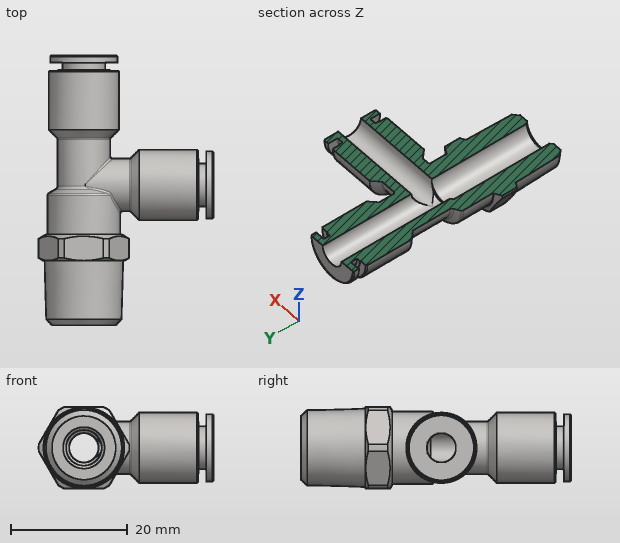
import cadquery as cq
import math


OVERALL_LENGTH = 46.2

STEM_R = 4.55
SOCKET_R = 6.05
SOCKET_START = 9.45
FLARE_START = SOCKET_START - (SOCKET_R - STEM_R)
SOCKET_END = 19.55
SOCKET_CHAMFER = 0.25
LIP_R = 4.4
LIP_HEIGHT = 0.15
COLLAR_NECK_R = 3.7
COLLAR_R = 5.78
COLLAR_CHAMFER = 0.25
COLLAR_BLEND_R = 0.15
END_REACH = 22.18
COLLAR_THICKNESS = 1.25
COLLAR_BASE = END_REACH - COLLAR_THICKNESS
STEM_BLEND_R = 0.35

BODY_R = 6.25
BODY_SHOULDER_Y = -1.52
BODY_CONE_ANGLE = 60.0
BODY_INNER_BLEND_R = 0.65
BODY_OUTER_BLEND_R = 0.45
BRANCH_BLEND_R = 0.35

BRANCH_STEM_UNDERSIZE = 0.005
BRANCH_STEM_R = STEM_R - BRANCH_STEM_UNDERSIZE
JOINT_TOLERANCE = 0.0005

HEX_ACROSS_FLATS = 14.0
HEX_CORNER_R = 7.75
HEX_TOP_Y = -8.4
HEX_BOTTOM_Y = -13.0
HEX_TOP_FACE_R = 6.38
HEX_BOTTOM_FACE_R = 6.95
HEX_CHAMFER_ANGLE = 30.0

THREAD_END_Y = END_REACH - OVERALL_LENGTH
THREAD_START_R = 6.75
THREAD_TIP_R = 6.45
THREAD_CHAMFER_LENGTH = 1.05
THREAD_FACE_R = 5.45

INLET_R = 3.05
INLET_MOUTH_R = 3.55
INLET_END_Y = -2.4
OUTLET_R = 2.5


def revolve_about_y(points, blends=()):
    """Turn an outline of (radius, y) points; blends lists (corner point, blend radius) pairs."""
    corners = [cq.Vector(*point) for point in points]
    face = cq.Face.makeFromWires(cq.Wire.makePolygon(corners, close=True))
    for corner, blend_r in blends:
        vertex = min(face.Vertices(), key=lambda v: (v.Center() - cq.Vector(*corner)).Length)
        face = face.fillet2D(blend_r, [vertex])
    return cq.Workplane("XY").add(face).toPending().revolve(360, (0, 0, 0), (0, 1, 0))


def push_in_profile():
    """(Radius, distance from the origin) along the flared socket, its lip and the release collar."""
    return [
        (SOCKET_R, SOCKET_START),
        (SOCKET_R, SOCKET_END - SOCKET_CHAMFER),
        (SOCKET_R - SOCKET_CHAMFER, SOCKET_END),
        (LIP_R, SOCKET_END),
        (LIP_R, SOCKET_END + LIP_HEIGHT),
        (COLLAR_NECK_R, SOCKET_END + LIP_HEIGHT),
        (COLLAR_NECK_R, COLLAR_BASE),
        (COLLAR_R, COLLAR_BASE),
        (COLLAR_R, END_REACH - COLLAR_CHAMFER),
        (COLLAR_R - COLLAR_CHAMFER, END_REACH),
        (0, END_REACH),
    ]


def push_in_blends(stem_r):
    """Blends where the stem meets the flare and where the collar neck meets the collar."""
    return [
        ((stem_r, FLARE_START), STEM_BLEND_R),
        ((COLLAR_NECK_R, COLLAR_BASE), COLLAR_BLEND_R),
    ]


def run():
    """Thread, round body, stem and push-in end turned about Y, with blends along the stem."""
    thread_profile = [
        (0, THREAD_END_Y),
        (THREAD_FACE_R, THREAD_END_Y),
        (THREAD_TIP_R, THREAD_END_Y + THREAD_CHAMFER_LENGTH),
        (THREAD_START_R, HEX_BOTTOM_Y),
    ]
    cone_length = (BODY_R - STEM_R) / math.tan(math.radians(BODY_CONE_ANGLE))
    cone_top = BODY_SHOULDER_Y + cone_length
    body_profile = [
        (BODY_R, HEX_BOTTOM_Y),
        (BODY_R, BODY_SHOULDER_Y),
    ]
    stem_profile = [
        (STEM_R, cone_top),
        (STEM_R, FLARE_START),
    ]
    blends = [
        ((BODY_R, BODY_SHOULDER_Y), BODY_OUTER_BLEND_R),
        ((STEM_R, cone_top), BODY_INNER_BLEND_R),
    ]
    outline = thread_profile + body_profile + stem_profile + push_in_profile()
    return revolve_about_y(outline, blends + push_in_blends(STEM_R))


def branch():
    """Stem and push-in end turned about Y, then laid along +X."""
    stem_profile = [
        (0, 0),
        (BRANCH_STEM_R, 0),
        (BRANCH_STEM_R, FLARE_START),
    ]
    turned = revolve_about_y(stem_profile + push_in_profile(), push_in_blends(BRANCH_STEM_R))
    return turned.rotate((0, 0, 0), (0, 0, 1), -90)


def tee():
    """Run and branch, with a blend along the curve where the branch leaves the run."""
    joined = run().union(branch())

    def on_joint(edge):
        middle = edge.positionAt(0.5)
        on_branch_stem = abs(math.hypot(middle.y, middle.z) - BRANCH_STEM_R) < JOINT_TOLERANCE
        return on_branch_stem and 0 < middle.x < BODY_R + JOINT_TOLERANCE

    return joined.edges("not %LINE").filter(on_joint).fillet(BRANCH_BLEND_R)


def hexagon():
    """Hexagon with corners on +X and -X, rounded corners and turned chamfers."""
    height = HEX_TOP_Y - HEX_BOTTOM_Y
    slope = math.tan(math.radians(HEX_CHAMFER_ANGLE))
    across_corners = HEX_ACROSS_FLATS / math.cos(math.pi / 6)
    prism = cq.Workplane("XZ", origin=(0, HEX_TOP_Y, 0)).polygon(6, across_corners).extrude(height)
    envelope = revolve_about_y([
        (0, HEX_TOP_Y),
        (HEX_TOP_FACE_R, HEX_TOP_Y),
        (HEX_CORNER_R, HEX_TOP_Y - (HEX_CORNER_R - HEX_TOP_FACE_R) * slope),
        (HEX_CORNER_R, HEX_BOTTOM_Y + (HEX_CORNER_R - HEX_BOTTOM_FACE_R) * slope),
        (HEX_BOTTOM_FACE_R, HEX_BOTTOM_Y),
        (0, HEX_BOTTOM_Y),
    ])
    return prism.intersect(envelope)


def run_bore():
    """Wide inlet with a 45 degree mouth and throat, then the outlet out through the run end."""
    return revolve_about_y([
        (0, THREAD_END_Y),
        (INLET_MOUTH_R, THREAD_END_Y),
        (INLET_R, THREAD_END_Y + INLET_MOUTH_R - INLET_R),
        (INLET_R, INLET_END_Y),
        (OUTLET_R, INLET_END_Y + INLET_R - OUTLET_R),
        (OUTLET_R, END_REACH),
        (0, END_REACH),
    ])


def branch_bore():
    """Straight bore from the run axis out through the branch end."""
    return cq.Workplane("YZ").circle(OUTLET_R).extrude(END_REACH)


result = tee().union(hexagon()).cut(run_bore()).cut(branch_bore())